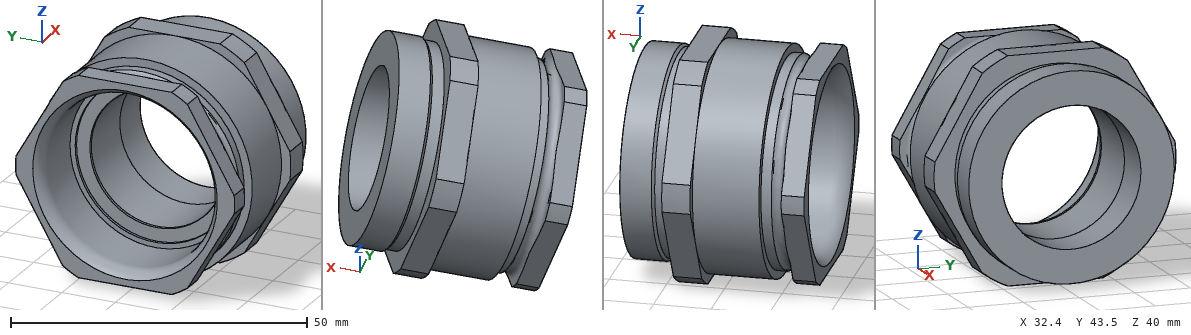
import cadquery as cq
import math

overall_length = 32.4

nut_flat_radius = 18.47
nut_corner_radius = 20.45
nut_hex_end = 3.95
groove_arc_radius = 1.17
groove_floor_radius = 17.95
groove_floor_x = nut_hex_end + groove_arc_radius
groove_arc_end = 5.95
groove_chamfer_end = 6.15
nut_neck_radius = 18.47
nut_bore_radius = 15.9
nut_mouth_radius = 17.2
mouth_depth = 2.83
nut_end = 11.95

ring_thickness = 0.55
ring_bore_radius = 14.95
gland_bore_radius = 12.48
washer_thickness = 0.55
ring_end = nut_end + ring_thickness
washer_end = ring_end + washer_thickness

body_start = 7.9
barrel_radius = 20.0
body_hex_start = 19.45
body_hex_end = 24.35
body_corner_radius = 21.75
relief_radius = 18.0
relief_end = 26.45
spigot_radius = 18.47
seal_end = body_hex_end
seal_outer_radius = nut_bore_radius


def tube(start, end, outer_radius, inner_radius):
    """Plain tube along X."""
    rings = cq.Workplane("YZ", origin=(start, 0, 0)).circle(outer_radius).circle(inner_radius)
    return rings.extrude(end - start)


def rounded_hexagon(start, end, flat_radius, corner_radius):
    """Hexagonal prism with flats at +Z and -Z and its corners turned to a radius."""
    across_corners = 2 * flat_radius / math.cos(math.pi / 6)
    prism = cq.Workplane("YZ", origin=(start, 0, 0)).polygon(6, across_corners).extrude(end - start)
    disc = cq.Workplane("YZ", origin=(start, 0, 0)).circle(corner_radius).extrude(end - start)
    return prism.intersect(disc)


def revolve_about_x(profile):
    """Turn a closed profile drawn as (x, radius) about the X axis."""
    return profile.close().revolve(360, (0, 0, 0), (1, 0, 0))


def make_cap_nut():
    flare_top_radius = groove_floor_radius + groove_arc_radius
    diagonal_offset = groove_arc_radius * math.sqrt(0.5)
    flare = revolve_about_x(
        cq.Workplane("XY")
        .moveTo(nut_hex_end, 0)
        .lineTo(nut_hex_end, flare_top_radius)
        .threePointArc(
            (groove_floor_x - diagonal_offset, flare_top_radius - diagonal_offset),
            (groove_floor_x, groove_floor_radius),
        )
        .lineTo(groove_floor_x, 0)
    )
    envelope = rounded_hexagon(0, groove_floor_x, nut_flat_radius, nut_corner_radius)
    head = rounded_hexagon(0, nut_hex_end, nut_flat_radius, nut_corner_radius)

    rise_angle = math.asin((groove_arc_end - groove_floor_x) / groove_arc_radius)

    def groove_point(angle):
        return (
            groove_floor_x + groove_arc_radius * math.sin(angle),
            flare_top_radius - groove_arc_radius * math.cos(angle),
        )

    neck = revolve_about_x(
        cq.Workplane("XY")
        .moveTo(groove_floor_x, 0)
        .lineTo(groove_floor_x, groove_floor_radius)
        .threePointArc(groove_point(rise_angle / 2), groove_point(rise_angle))
        .lineTo(groove_chamfer_end, nut_neck_radius)
        .lineTo(nut_end, nut_neck_radius)
        .lineTo(nut_end, 0)
    )

    mouth_step = nut_mouth_radius - nut_bore_radius
    mouth_arc_radius = (mouth_depth**2 + mouth_step**2) / (2 * mouth_step)
    middle_x = mouth_depth / 2
    middle_drop = math.sqrt(mouth_arc_radius**2 - (mouth_depth - middle_x) ** 2)
    bore = revolve_about_x(
        cq.Workplane("XY")
        .lineTo(0, nut_mouth_radius)
        .threePointArc(
            (middle_x, nut_bore_radius + mouth_arc_radius - middle_drop),
            (mouth_depth, nut_bore_radius),
        )
        .lineTo(nut_end, nut_bore_radius)
        .lineTo(nut_end, 0)
    )
    return head.union(flare.intersect(envelope)).union(neck).cut(bore)


def make_gland_body():
    relief_chamfer = spigot_radius - relief_radius
    turned = revolve_about_x(
        cq.Workplane("XY")
        .moveTo(body_start, 0)
        .lineTo(body_start, barrel_radius)
        .lineTo(body_hex_start, barrel_radius)
        .lineTo(body_hex_start, relief_radius)
        .lineTo(relief_end, relief_radius)
        .lineTo(relief_end + relief_chamfer, spigot_radius)
        .lineTo(overall_length, spigot_radius)
        .lineTo(overall_length, 0)
    )
    hexagon = rounded_hexagon(body_hex_start, body_hex_end, barrel_radius, body_corner_radius)
    through_bore = cq.Workplane("YZ").circle(gland_bore_radius).extrude(overall_length)
    seal_pocket = cq.Workplane("YZ").circle(seal_outer_radius).extrude(seal_end)
    nut_socket = cq.Workplane("YZ").circle(nut_neck_radius).extrude(washer_end)
    return turned.union(hexagon).cut(through_bore).cut(seal_pocket).cut(nut_socket)


cap_nut = make_cap_nut()
pressure_ring = tube(nut_end, ring_end, nut_neck_radius, ring_bore_radius)
washer = tube(ring_end, washer_end, nut_neck_radius, gland_bore_radius)
seal = tube(washer_end, seal_end, seal_outer_radius, gland_bore_radius)
gland_body = make_gland_body()

result = cq.Compound.makeCompound(
    [cap_nut.val(), pressure_ring.val(), washer.val(), seal.val(), gland_body.val()]
)